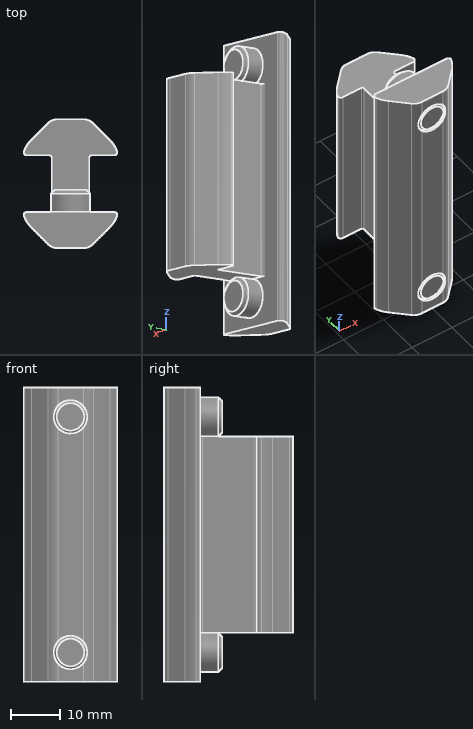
import cadquery as cq
import math

overall_depth = 26.3
rail_length = 60.0
head_length = 40.0

flange_thickness = 7.4
crown_half_width = 3.78
slope_half_width = 8.02
side_radius = 6.5
crown_radius = 2.8
tip_radius = 0.65

web_width = 7.7
web_fillet = 0.4

screw_spacing = 48.0
shank_diameter = 6.8
shank_chamfer = 0.6
body_diameter = 8.0
body_chamfer = 0.8
body_projection = 4.5

outer_y = overall_depth / 2
inner_y = outer_y - flange_thickness
screw_heights = [-screw_spacing / 2, screw_spacing / 2]


def side_arc_point(angle):
    """Point on the side arc, as (half width, height above the outer face)."""
    center_x = slope_half_width - side_radius * math.cos(math.pi / 4)
    flank_height = slope_half_width - crown_half_width
    center_h = flank_height + side_radius * math.sin(math.pi / 4)
    return center_x + side_radius * math.cos(angle), center_h + side_radius * math.sin(angle)


def make_flange(length):
    """Bar with a sloped, rounded section; its outer face lies at Y = -outer_y."""
    start_angle = -math.pi / 4
    arc_center_height = side_arc_point(0)[1]
    end_angle = math.asin((flange_thickness - arc_center_height) / side_radius)
    start = side_arc_point(start_angle)
    middle = side_arc_point((start_angle + end_angle) / 2)
    end = side_arc_point(end_angle)

    def right(point):
        return point[0], point[1] - outer_y

    def left(point):
        return -point[0], point[1] - outer_y

    flange = (
        cq.Workplane("XY")
        .moveTo(-crown_half_width, -outer_y)
        .lineTo(crown_half_width, -outer_y)
        .lineTo(*right(start))
        .threePointArc(right(middle), right(end))
        .lineTo(*left(end))
        .threePointArc(left(middle), left(start))
        .close()
        .extrude(length / 2, both=True)
    )
    flange = flange.faces("<Y").edges("|Z").fillet(crown_radius)
    return flange.faces(">Y").edges("|Z").fillet(tip_radius)


def make_bar():
    """Long rail and short head joined by a web, with a through hole for each screw."""
    rail = make_flange(rail_length)
    head = make_flange(head_length).mirror("XZ")
    web = cq.Workplane("XY").box(web_width, 2 * inner_y, head_length)
    bar = rail.union(head).union(web)

    web_sides = bar.faces(cq.selectors.BoxSelector(
        (-web_width, -inner_y / 2, -head_length / 4),
        (web_width, inner_y / 2, head_length / 4),
    ))
    bar = web_sides.edges("|Z").fillet(web_fillet)

    for z in screw_heights:
        hole = (
            cq.Workplane("XZ", origin=(0, -inner_y, z))
            .circle(shank_diameter / 2)
            .extrude(flange_thickness)
        )
        bar = bar.cut(hole)
    return bar


def make_screw(z):
    """Screw with its shank end flush with the rail and its wider body behind the rail."""
    seat = cq.Workplane("XZ", origin=(0, -inner_y, z))
    shank = seat.circle(shank_diameter / 2).extrude(flange_thickness)
    shank = shank.faces("<Y").chamfer(shank_chamfer)
    body = seat.circle(body_diameter / 2).extrude(-body_projection)
    body = body.faces(">Y").chamfer(body_chamfer)
    return shank.union(body)


bar = make_bar()
screws = [make_screw(z) for z in screw_heights]

result = cq.Compound.makeCompound([bar.val(), *[screw.val() for screw in screws]])